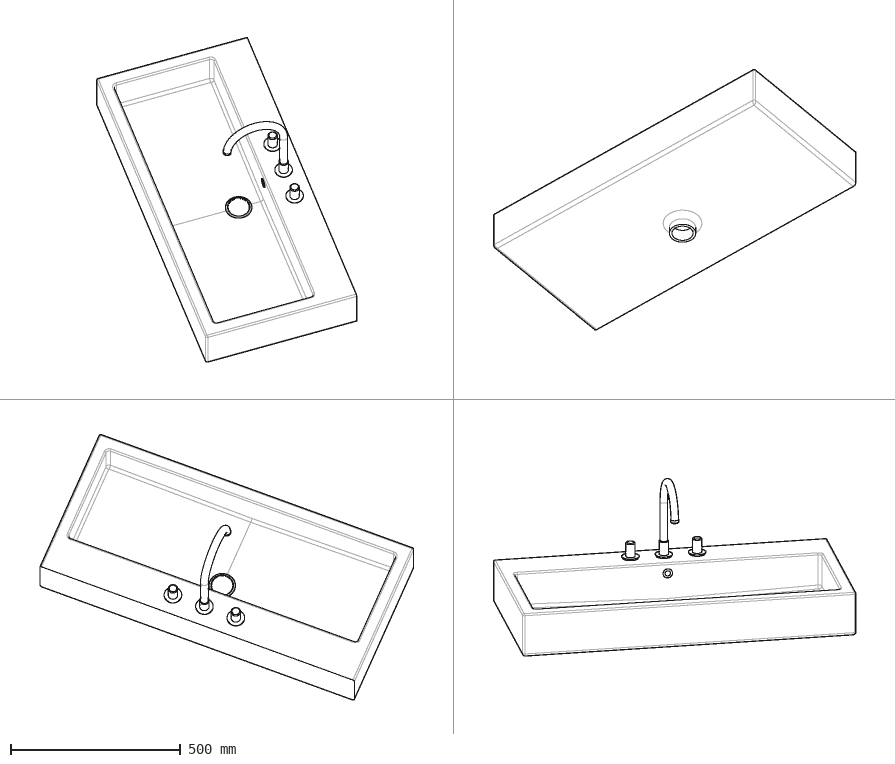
import cadquery as cq
import math


BASIN_WIDTH = 1000.0
BASIN_DEPTH = 470.0
BASIN_HEIGHT = 135.0
FRONT_CORNER_RADIUS = 6.0
TOP_EDGE_RADIUS = 5.0
BOTTOM_EDGE_RADIUS = 10.0

SIDE_WALL = 40.0
FRONT_WALL = 40.0
BACK_LEDGE = 120.0
BOWL_MIDDLE_DEPTH = 120.0
BOWL_END_DEPTH = 108.0
BOWL_CORNER_RADIUS = 10.0
BOWL_FLOOR_RADIUS = 9.0
RIM_RADIUS = 5.0
BOWL_HALF_WIDTH = BASIN_WIDTH / 2 - SIDE_WALL
BOWL_LENGTH = BASIN_DEPTH - BACK_LEDGE - FRONT_WALL

DRAIN_Y = -197.0
OUTLET_RADIUS = 39.0
OUTLET_LENGTH = 40.0
OUTLET_FLARE_RADIUS = 18.0
DRAIN_HOLE_RADIUS = 31.0
FLANGE_RADIUS = 39.0
FLANGE_HEIGHT = 3.0
FLANGE_EDGE_RADIUS = 2.0
DOME_RADIUS = 33.0
DOME_HEIGHT = 7.0

OVERFLOW_Z = -32.0
OVERFLOW_RADIUS = 14.0
OVERFLOW_BORE_RADIUS = 8.0
OVERFLOW_THICKNESS = 1.0

TAP_Y = -57.0
HANDLE_SPACING = 100.0
ROSE_BASE_RADIUS = 23.0
ROSE_RADIUS = 26.0
ROSE_TAPER_HEIGHT = 5.0
ROSE_LIP_HEIGHT = 1.0
STEM_RADIUS = 14.0
STEM_TOP = 50.0
STEM_CHAMFER = 3.0

TUBE_DIAMETER = 23.0
TUBE_RADIUS = TUBE_DIAMETER / 2
BEND_RADIUS = 88.0
SPOUT_HEIGHT = 269.0
BEND_ANGLE = 175.0
NOZZLE_LENGTH = 10.0
NOZZLE_RADIUS = 12.0
NOZZLE_CHAMFER = 3.0
BEND_Z = SPOUT_HEIGHT - BEND_RADIUS - TUBE_RADIUS


def make_block():
    block = cq.Workplane("XY").box(BASIN_WIDTH, BASIN_DEPTH, BASIN_HEIGHT, centered=(True, False, False))
    block = block.translate((0, -BASIN_DEPTH, -BASIN_HEIGHT))
    block = block.edges("|Z and <Y").fillet(FRONT_CORNER_RADIUS)
    block = block.faces(">Z").edges("not >Y").fillet(TOP_EDGE_RADIUS)
    return block.faces("<Z").edges("not >Y").fillet(BOTTOM_EDGE_RADIUS)


def make_bowl():
    bowl = (
        cq.Workplane("XZ", origin=(0, -BACK_LEDGE, 0))
        .moveTo(-BOWL_HALF_WIDTH, 0)
        .lineTo(-BOWL_HALF_WIDTH, -BOWL_END_DEPTH)
        .lineTo(0, -BOWL_MIDDLE_DEPTH)
        .lineTo(BOWL_HALF_WIDTH, -BOWL_END_DEPTH)
        .lineTo(BOWL_HALF_WIDTH, 0)
        .close()
        .extrude(BOWL_LENGTH)
    )
    bowl = bowl.edges("|Z").fillet(BOWL_CORNER_RADIUS)
    floor_outline = bowl.edges("not (|Z or >Z or <Z)")
    return floor_outline.fillet(BOWL_FLOOR_RADIUS)


def make_outlet():
    flare_radius = OUTLET_RADIUS + OUTLET_FLARE_RADIUS
    return (
        cq.Workplane("XZ", origin=(0, DRAIN_Y, -BASIN_HEIGHT))
        .moveTo(0, 0)
        .lineTo(flare_radius, 0)
        .radiusArc((OUTLET_RADIUS, -OUTLET_FLARE_RADIUS), -OUTLET_FLARE_RADIUS)
        .lineTo(OUTLET_RADIUS, -OUTLET_LENGTH)
        .lineTo(0, -OUTLET_LENGTH)
        .close()
        .revolve(360, (0, 0), (0, 1))
    )


def make_basin():
    basin = make_block().cut(make_bowl())
    rim = basin.faces(">Z").wires(cq.selectors.LengthNthSelector(0))
    basin = rim.edges().fillet(RIM_RADIUS)
    basin = basin.union(make_outlet())
    floor_at_drain = cq.Workplane("XY", origin=(0, DRAIN_Y, -BOWL_MIDDLE_DEPTH))
    drain_seat = floor_at_drain.circle(FLANGE_RADIUS).extrude(FLANGE_HEIGHT)
    drain_hole = floor_at_drain.circle(DRAIN_HOLE_RADIUS).extrude(-BASIN_HEIGHT)
    return basin.cut(drain_seat).cut(drain_hole)


def make_drain():
    """Flange with a rounded edge and a domed cover, on a plug that fills the hole in the floor."""
    plug_depth = BASIN_HEIGHT - BOWL_MIDDLE_DEPTH
    floor_at_drain = cq.Workplane("XY", origin=(0, DRAIN_Y, -BOWL_MIDDLE_DEPTH))
    flange = floor_at_drain.circle(FLANGE_RADIUS).extrude(FLANGE_HEIGHT)
    flange = flange.faces(">Z").edges().fillet(FLANGE_EDGE_RADIUS)
    plug = floor_at_drain.circle(DRAIN_HOLE_RADIUS).extrude(-plug_depth)
    sphere_radius = (DOME_RADIUS**2 + DOME_HEIGHT**2) / (2 * DOME_HEIGHT)
    dome = (
        cq.Workplane("XZ", origin=(0, DRAIN_Y, FLANGE_HEIGHT - BOWL_MIDDLE_DEPTH))
        .lineTo(DOME_RADIUS, 0)
        .radiusArc((0, DOME_HEIGHT), -sphere_radius)
        .close()
        .revolve(360, (0, 0), (0, 1))
    )
    return flange.union(plug).union(dome)


def make_overflow():
    return (
        cq.Workplane("XZ", origin=(0, -BACK_LEDGE, OVERFLOW_Z))
        .circle(OVERFLOW_RADIUS)
        .circle(OVERFLOW_BORE_RADIUS)
        .extrude(OVERFLOW_THICKNESS)
    )


def make_rose_and_stem(x):
    """Round stem on a rose that widens upwards to a thin lip."""
    lip_base = ROSE_TAPER_HEIGHT
    lip_top = lip_base + ROSE_LIP_HEIGHT
    return (
        cq.Workplane("XZ", origin=(x, TAP_Y, 0))
        .lineTo(ROSE_BASE_RADIUS, 0)
        .lineTo(ROSE_RADIUS, lip_base)
        .lineTo(ROSE_RADIUS, lip_top)
        .lineTo(STEM_RADIUS, lip_top)
        .lineTo(STEM_RADIUS, STEM_TOP - STEM_CHAMFER)
        .lineTo(STEM_RADIUS - STEM_CHAMFER, STEM_TOP)
        .lineTo(0, STEM_TOP)
        .close()
        .revolve(360, (0, 0), (0, 1))
    )


def make_spout():
    tube = cq.Workplane("XY", origin=(0, TAP_Y, 0)).circle(TUBE_RADIUS).extrude(BEND_Z)
    bend = (
        cq.Workplane("XY", origin=(0, TAP_Y, BEND_Z))
        .circle(TUBE_RADIUS)
        .revolve(BEND_ANGLE, (0, -BEND_RADIUS), (1, -BEND_RADIUS))
    )
    angle = math.radians(BEND_ANGLE)
    end_y = TAP_Y - BEND_RADIUS + BEND_RADIUS * math.cos(angle)
    end_z = BEND_Z + BEND_RADIUS * math.sin(angle)
    outlet_plane = cq.Plane(
        origin=(0, end_y, end_z),
        xDir=(1, 0, 0),
        normal=(0, -math.sin(angle), math.cos(angle)),
    )
    nozzle = cq.Workplane(outlet_plane).circle(NOZZLE_RADIUS).extrude(NOZZLE_LENGTH)
    nozzle = nozzle.faces("<Z").chamfer(NOZZLE_CHAMFER)
    return make_rose_and_stem(0).union(tube).union(bend).union(nozzle)


def make_handles():
    return [make_rose_and_stem(side * HANDLE_SPACING) for side in (-1, 1)]


basin = make_basin()
drain = make_drain()
overflow = make_overflow()
spout = make_spout()
handles = make_handles()

result = cq.Compound.makeCompound(
    [basin.val(), drain.val(), overflow.val(), spout.val(), *[handle.val() for handle in handles]]
)